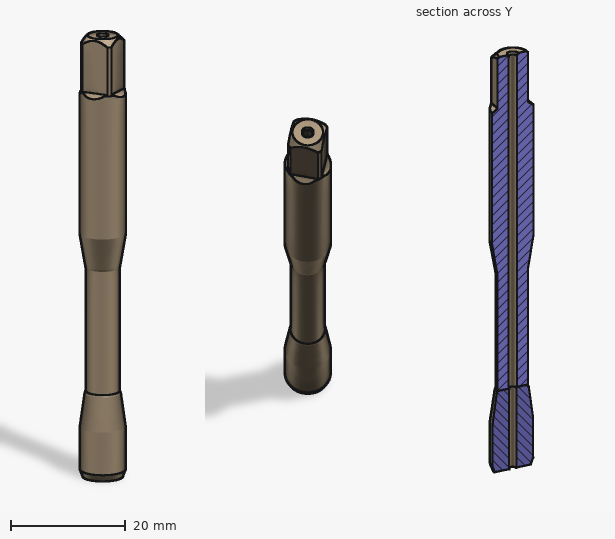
import cadquery as cq

TOTAL_LENGTH = 80.0
BOTTOM_CHAMFER_HEIGHT = 1.3
HEAD_CONE_START = 9.0
HEAD_CONE_END = 15.0
HEAD_TOP = 15.5
NECK_TOP = 37.8
SHANK_CONE_START = 38.2
SHANK_CONE_END = 44.0
SHOULDER_Z = 69.3
SHOULDER_TOP_Z = 69.9
FLAT_RUNOUT_Z = 69.4
FLAT_FOOT_Z = 70.2

SHANK_DIAMETER = 8.2
HEAD_DIAMETER = 8.1
HEAD_END_DIAMETER = 7.1
HEAD_CONE_TIP_DIAMETER = 6.4
SHANK_CONE_TIP_DIAMETER = 6.2
NECK_DIAMETER = 6.0
SQUARE_CORNER_DIAMETER = 7.8
TOP_FACE_DIAMETER = 5.4

SQUARE_WIDTH = 6.0
SQUARE_SIDES = 4

SHANK_BORE_DIAMETER = 1.5
HEAD_BORE_DIAMETER = 1.4
BORE_MOUTH_DIAMETER = 2.1
COUNTERSINK_DEPTH = 0.5


def revolve_profile(points):
    """Revolve (radius, z) points, closed along the axis, about Z."""
    return cq.Workplane("XZ").polyline(points).close().revolve(360, (0, 0, 0), (0, 1, 0))


def bore(diameter, bottom, top):
    """Cylindrical cutter on the axis."""
    return cq.Workplane("XY").workplane(offset=bottom).circle(diameter / 2).extrude(top - bottom)


def cut_square_flats(body):
    """Mill the four flats, each ending in a sloped foot that runs out at the shoulder."""
    flat = SQUARE_WIDTH / 2
    shank_radius = SHANK_DIAMETER / 2
    cutter = (
        cq.Workplane("XZ")
        .polyline([
            (flat, TOTAL_LENGTH),
            (flat, FLAT_FOOT_Z),
            (shank_radius, FLAT_RUNOUT_Z),
            (shank_radius, TOTAL_LENGTH),
        ])
        .close()
        .extrude(shank_radius, both=True)
    )
    for side in range(SQUARE_SIDES):
        body = body.cut(cutter.rotate((0, 0, 0), (0, 0, 1), side * 360 / SQUARE_SIDES))
    return body


def make_shank():
    """Shank with a slim neck, a driving square and a countersunk coolant bore."""
    shank_radius = SHANK_DIAMETER / 2
    neck_radius = NECK_DIAMETER / 2
    corner_radius = SQUARE_CORNER_DIAMETER / 2
    top_radius = TOP_FACE_DIAMETER / 2
    body = revolve_profile([
        (0, HEAD_TOP),
        (neck_radius, HEAD_TOP),
        (neck_radius, NECK_TOP),
        (SHANK_CONE_TIP_DIAMETER / 2, SHANK_CONE_START),
        (shank_radius, SHANK_CONE_END),
        (shank_radius, SHOULDER_Z),
        (corner_radius, SHOULDER_TOP_Z),
        (corner_radius, TOTAL_LENGTH - (corner_radius - top_radius)),
        (top_radius, TOTAL_LENGTH),
        (0, TOTAL_LENGTH),
    ])
    body = cut_square_flats(body)
    body = body.cut(bore(SHANK_BORE_DIAMETER, HEAD_TOP, TOTAL_LENGTH))
    countersink = revolve_profile([
        (0, TOTAL_LENGTH),
        (BORE_MOUTH_DIAMETER / 2, TOTAL_LENGTH),
        (SHANK_BORE_DIAMETER / 2, TOTAL_LENGTH - COUNTERSINK_DEPTH),
        (0, TOTAL_LENGTH - COUNTERSINK_DEPTH),
    ])
    return body.cut(countersink)


def make_head():
    """Working head with a chamfered lower end and a cone rising to the neck."""
    head_radius = HEAD_DIAMETER / 2
    body = revolve_profile([
        (0, 0),
        (HEAD_END_DIAMETER / 2, 0),
        (head_radius, BOTTOM_CHAMFER_HEIGHT),
        (head_radius, HEAD_CONE_START),
        (HEAD_CONE_TIP_DIAMETER / 2, HEAD_CONE_END),
        (NECK_DIAMETER / 2, HEAD_TOP),
        (0, HEAD_TOP),
    ])
    return body.cut(bore(HEAD_BORE_DIAMETER, 0, HEAD_TOP))


shank = make_shank()
head = make_head()
result = cq.Compound.makeCompound([shank.val(), head.val()])